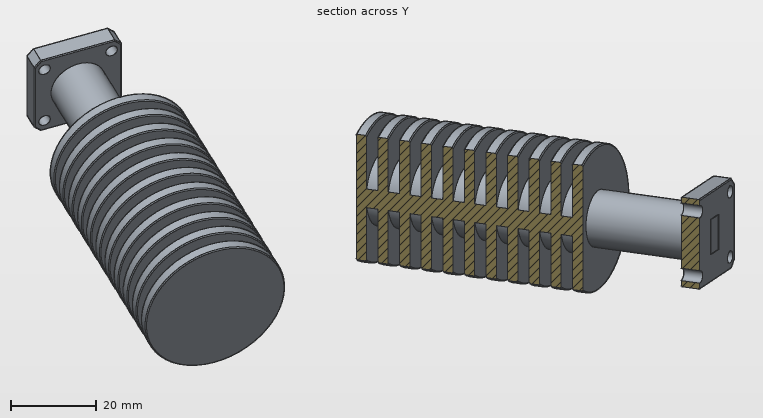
import cadquery as cq

total_length = 88.9
body_start = 30.2

flange_size = 22.2
flange_thickness = 4.9
flange_corner_cut = 1.7
flange_edge_chamfer = 0.25

hole_diameter = 2.9
hole_spacing_y = 17.1
hole_spacing_z = 16.1

window_width_y = 4.4
window_height_z = 8.6
window_depth = 0.2

neck_diameter = 13.8
core_diameter = 17.8
fin_diameter = 35.6
fin_count = 11
fin_edge_chamfer = 0.3
fin_thickness = (total_length - body_start) / (2 * fin_count - 1)
fin_pitch = 2 * fin_thickness


def section_plane(x):
    """Plane across the part axis at x; local x is +Y and local y is +Z."""
    return cq.Workplane("YZ", origin=(x, 0, 0))


def rod(start, end, diameter):
    return section_plane(start).circle(diameter / 2).extrude(end - start)


def make_flange():
    flange = section_plane(0).rect(flange_size, flange_size).extrude(flange_thickness)
    flange = flange.edges("|X").chamfer(flange_corner_cut)
    flange = flange.faces("<X or >X").edges().chamfer(flange_edge_chamfer)
    return flange


def make_fin(start):
    fin = rod(start, start + fin_thickness, fin_diameter)
    return fin.edges().chamfer(fin_edge_chamfer)


def make_screw_holes():
    holes = section_plane(0).rect(hole_spacing_y, hole_spacing_z, forConstruction=True).vertices()
    return holes.circle(hole_diameter / 2).extrude(flange_thickness)


def make_window():
    return section_plane(0).rect(window_width_y, window_height_z).extrude(window_depth)


neck = rod(flange_thickness, body_start, neck_diameter)
core = rod(body_start, total_length - fin_thickness, core_diameter)

result = make_flange().cut(make_screw_holes()).cut(make_window())
result = result.union(neck).union(core)
for index in range(fin_count):
    result = result.union(make_fin(body_start + index * fin_pitch))